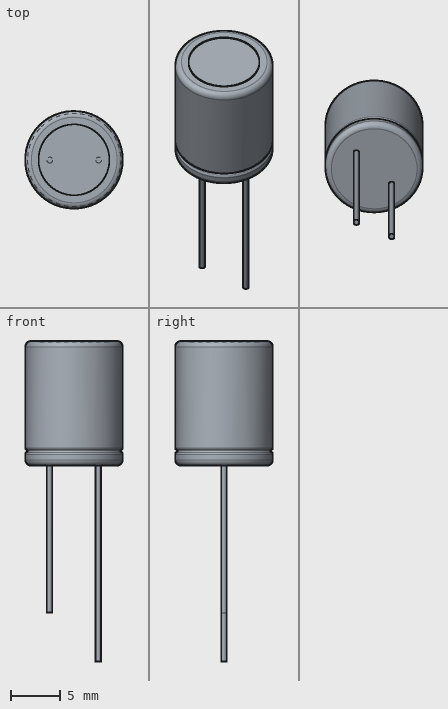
import cadquery as cq


can_diameter = 9.98
can_height = 12.73
can_radius = can_diameter / 2
rim_fillet = 0.62

recess_diameter = 7.23
recess_depth = 0.1

groove_center_z = 1.5
groove_half_height = 0.33
groove_depth = 0.23
groove_lip_radius = 0.23

total_height = 32.72
lead_diameter = 0.6
lead_offset_x = 2.5
long_lead_length = total_height - can_height
short_lead_length = 15.0


def make_crimp_groove():
    """Ring cutter whose floor arc is tangent to a lip arc above and below it."""
    radius_sum = (groove_half_height**2 + groove_depth**2) / (2 * groove_depth)
    lip_share = groove_lip_radius / radius_sum
    floor_radius = can_radius - groove_depth
    tangent_radius = can_radius - groove_depth * lip_share
    tangent_height = groove_half_height * (1 - lip_share)

    profile = (
        cq.Workplane("XZ", origin=(0, 0, groove_center_z))
        .moveTo(can_radius, -groove_half_height)
        .radiusArc((tangent_radius, -tangent_height), -groove_lip_radius)
        .threePointArc((floor_radius, 0), (tangent_radius, tangent_height))
        .radiusArc((can_radius, groove_half_height), -groove_lip_radius)
        .close()
    )
    return profile.revolve(360, (0, 0, 0), (0, 1, 0))


def make_can():
    """Cylinder with rounded rims, a recessed top and a crimp groove."""
    body = cq.Workplane("XY").circle(can_radius).extrude(can_height)
    body = body.edges("%CIRCLE").fillet(rim_fillet)
    recess = (
        cq.Workplane("XY")
        .workplane(offset=can_height - recess_depth)
        .circle(recess_diameter / 2)
        .extrude(recess_depth)
    )
    return body.cut(recess).cut(make_crimp_groove())


def make_lead(x, length):
    """Straight round wire hanging from the bottom of the can."""
    return cq.Workplane("XY").center(x, 0).circle(lead_diameter / 2).extrude(-length)


can = make_can()

lead_layout = [(-lead_offset_x, short_lead_length), (lead_offset_x, long_lead_length)]
leads = []
for lead_x, lead_length in lead_layout:
    leads.append(make_lead(lead_x, lead_length).val())

result = cq.Compound.makeCompound([can.val(), *leads])